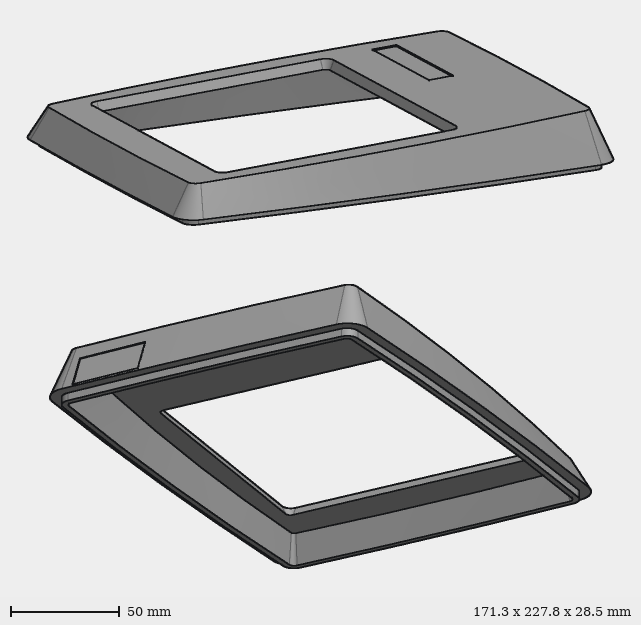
import cadquery as cq
import math

length = 227.8
width = 171.3
height = 28.5

side_bow = 2.7
end_bow = 1.1
corner_radius = 11.0

top_length = 208.7
top_width = 158.3
top_center_y = -1.0
top_drop = 9.8
top_side_bow = 4.0
top_end_bow = 1.4
top_corner_radius = 4.5
top_angle = math.degrees(math.atan(top_drop / top_length))

top_center = (0, top_center_y, height - top_drop / 2)
top_plane = cq.Plane(origin=top_center).rotated((top_angle, 0, 0))

lip_height = 3.9
lip_inset = 5.2

plate_thickness = 4.5
wall = 3.0

window_width = 134.0
window_length = 124.4
window_center_y = -23.0
window_radius = 4.5
window_inset = 2.0

recess_depth = 0.7
label_width = 58.0
label_length = 12.5
label_center_x = -38.0
label_center_y = 67.7

badge_width = 34.9
badge_height = 17.3
badge_center_x = 49.7
badge_center_z = 13.2


def bowed_outline(outline_width, outline_length, width_bow, length_bow, radius):
    """Closed wire on XY with four outward-bowed sides and rounded corners."""
    mid_x = outline_width / 2
    mid_y = outline_length / 2
    x = mid_x - width_bow
    y = mid_y - length_bow
    wire = (
        cq.Workplane("XY")
        .moveTo(-x, -y)
        .threePointArc((0, -mid_y), (x, -y))
        .threePointArc((mid_x, 0), (x, y))
        .threePointArc((0, mid_y), (-x, y))
        .threePointArc((-mid_x, 0), (-x, -y))
        .close()
        .val()
    )
    return wire.fillet2D(radius, wire.Vertices())


def skirt_outline(inset=0.0):
    return bowed_outline(
        width - 2 * inset, length - 2 * inset, side_bow, end_bow, corner_radius - inset
    )


def top_outline(inset=0.0):
    """Outline in the coordinates of the sloping top face."""
    slope_length = math.hypot(top_length, top_drop)
    return bowed_outline(
        top_width - 2 * inset, slope_length - 2 * inset,
        top_side_bow, top_end_bow, top_corner_radius - inset,
    )


def rectangle_on(plane, size_x, size_y, center_x=0.0, center_y=0.0):
    return cq.Workplane(plane).center(center_x, center_y).rect(size_x, size_y)


def make_body():
    skirt_bottom = skirt_outline().translate(cq.Vector(0, 0, lip_height))
    skirt_top = top_outline().moved(top_plane.location)
    skirt = cq.Solid.makeLoft([skirt_bottom, skirt_top], True)
    lip = cq.Solid.extrudeLinear(skirt_outline(lip_inset), [], cq.Vector(0, 0, lip_height))
    return cq.Workplane(skirt).union(cq.Workplane(lip))


def make_cavity():
    floor = skirt_outline(lip_inset + wall)
    ceiling_plane = cq.Plane(
        origin=top_plane.toWorldCoords((0, 0, -plate_thickness)),
        xDir=top_plane.xDir, normal=top_plane.zDir,
    )
    ceiling = top_outline(wall).moved(ceiling_plane.location)
    return cq.Workplane(cq.Solid.makeLoft([floor, ceiling], True))


def make_window():
    taper = math.degrees(math.atan(window_inset / plate_thickness))
    opening = cq.Sketch().rect(window_width, window_length).vertices().fillet(window_radius)
    return (
        cq.Workplane(top_plane)
        .center(0, window_center_y)
        .placeSketch(opening)
        .extrude(-plate_thickness, taper=taper)
    )


def make_label_recess():
    return rectangle_on(
        top_plane, label_width, label_length, label_center_x, label_center_y
    ).extrude(-recess_depth)


def make_badge_recess():
    """Recess in the bowed, leaning back wall; its floor is flat and follows the wall there."""
    back_bottom = length / 2
    back_top = top_center_y + top_length / 2
    lean_slope = (back_bottom - back_top) / (height - lip_height)
    lean = math.atan(lean_slope)
    bow_sag = end_bow * (2 * badge_center_x / width) ** 2
    bow_slope = 2 * bow_sag / badge_center_x
    wall_y = back_bottom - bow_sag - lean_slope * (badge_center_z - lip_height)
    wall_plane = cq.Plane(
        origin=(badge_center_x, wall_y, badge_center_z),
        xDir=(-1, 0, 0),
        normal=(0, math.cos(lean), math.sin(lean)),
    ).rotated((0, -math.degrees(math.atan(bow_slope)), 0))
    return rectangle_on(wall_plane, badge_width, badge_height).extrude(recess_depth, both=True)


result = (
    make_body()
    .cut(make_cavity())
    .cut(make_window())
    .cut(make_label_recess())
    .cut(make_badge_recess())
)